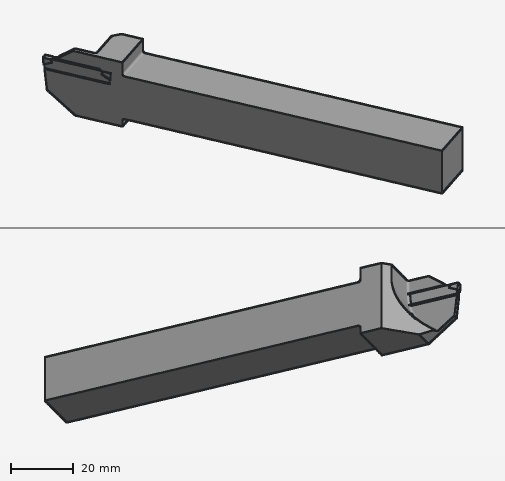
import cadquery as cq
import math


tool_length = 140.0
shank_size = 16.0
head_top = 21.0
head_height = 24.0
head_bottom = head_top - head_height
head_end = 27.9
head_corner_radius = 0.8
blade_thickness = 1.7
blade_root_radius = 0.8
blade_nose = (1.33, 4.2)
lower_slope_end = 11.3
upper_slope_end = 10.5
jaw_nose = (5.2, 17.0)

clearance_edge = 17.9
clearance_axis_height = 16.0
clearance_radius = 17.9
bevel_start = 20.3

margin = 0.1
opening_clearance = 1.4

insert_length = 23.8
seat_bottom = 11.8
insert_top = 16.4
tip_top = 16.0
tip_overhang = 0.49
tip_shoulder = 2.7
tip_heel = (3.2, 14.8)
tip_base = (0.21, 13.5)
ridge_start = 4.2
ridge_slope_start = 3.5
tip_side_relief = 0.1
insert_edge_chamfer = 0.35


def prism(points, back, front=0.0):
    """Extrude an XZ outline from Y = front to Y = back."""
    return (
        cq.Workplane("XZ", origin=(0, front, 0))
        .polyline(points)
        .close()
        .extrude(front - back)
    )


def make_insert_body():
    half_outline = [
        (tip_overhang, seat_bottom),
        (tip_overhang, tip_top),
        (ridge_slope_start, tip_top),
        (ridge_start, insert_top),
    ]
    mirrored = [(insert_length - x, z) for x, z in reversed(half_outline)]
    return prism(half_outline + mirrored, blade_thickness)


def make_tips():
    tip = prism(
        [(0, tip_top), (tip_shoulder, tip_top), tip_heel, tip_base],
        blade_thickness + tip_side_relief,
        -tip_side_relief,
    )
    far_tip = tip.mirror("YZ").translate((insert_length, 0, 0))
    return tip.union(far_tip)


def make_insert():
    """Insert with its long edges chamfered, leaving a fine groove along the seat."""
    at_ridge = cq.selectors.BoxSelector(
        (ridge_start - margin, -margin, insert_top - margin),
        (insert_length - ridge_start + margin, blade_thickness + margin, insert_top + margin),
    )
    body = make_insert_body()
    body = body.faces("<Z").edges("|X").chamfer(insert_edge_chamfer)
    body = body.edges("|X").edges(at_ridge).chamfer(insert_edge_chamfer)
    return body.union(make_tips())


def make_seat():
    """Pocket for the insert, open above the cutting tip in front of the upper jaw."""
    jaw_opening = prism(
        [(0, seat_bottom), (jaw_nose[0], seat_bottom), jaw_nose, (0, jaw_nose[1])],
        blade_thickness,
    )
    return make_insert_body().union(make_tips()).union(jaw_opening)


def make_clearance():
    axis_x = clearance_edge - clearance_radius
    diagonal = clearance_radius / math.sqrt(2)
    cutter = (
        cq.Workplane("XZ", origin=(0, blade_thickness, 0))
        .moveTo(clearance_edge, head_top + opening_clearance)
        .lineTo(clearance_edge, clearance_axis_height)
        .threePointArc(
            (axis_x + diagonal, clearance_axis_height - diagonal),
            (axis_x, clearance_axis_height - clearance_radius),
        )
        .lineTo(axis_x - opening_clearance, clearance_axis_height - clearance_radius)
        .lineTo(axis_x - opening_clearance, head_top + opening_clearance)
        .close()
        .extrude(-shank_size)
    )
    wall_edges = cutter.faces("<Y").edges(cq.selectors.BoxSelector(
        (axis_x, 0, head_bottom), (clearance_edge + margin, shank_size, head_top)
    ))
    return cutter.newObject(wall_edges.vals()).fillet(blade_root_radius)


def make_bevel():
    return (
        cq.Workplane("XY", origin=(0, 0, head_bottom))
        .polyline([
            (bevel_start - shank_size, 0),
            (bevel_start, shank_size),
            (bevel_start - shank_size, shank_size),
        ])
        .close()
        .extrude(head_top - head_bottom)
    )


def make_holder():
    outline = [
        (tip_overhang, seat_bottom),
        blade_nose,
        (lower_slope_end, head_bottom),
        (head_end, head_bottom),
        (head_end, 0),
        (tool_length, 0),
        (tool_length, shank_size),
        (head_end, shank_size),
        (head_end, head_top),
        (upper_slope_end, head_top),
        jaw_nose,
        (tip_overhang, jaw_nose[1]),
    ]
    blank = prism(outline, shank_size)
    head_corners = cq.selectors.BoxSelector(
        (head_end - margin, 0, -margin), (head_end + margin, shank_size, shank_size + margin)
    )
    blank = blank.edges("|Y").edges(head_corners).fillet(head_corner_radius)
    behind_blade = cq.Workplane("XY").box(
        tool_length, shank_size, head_top - head_bottom, centered=False
    ).translate((0, blade_thickness, head_bottom))
    return blank.cut(make_clearance()).cut(make_bevel().intersect(behind_blade)).cut(make_seat())


holder = make_holder()
insert = make_insert()
result = cq.Compound.makeCompound([holder.val(), insert.val()])